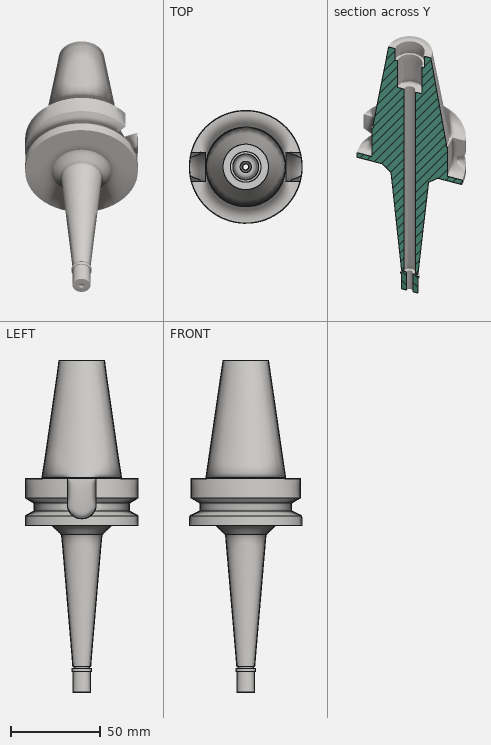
import cadquery as cq

total_length = 185.4
gauge_z = 120.0
flange_top_z = 119.4
flange_bottom_z = 93.0
neck_top_z = 88.0
neck_bottom_z = 14.5

taper_large_radius = 22.2
taper_ratio = 7 / 24
taper_small_radius = taper_large_radius - (total_length - gauge_z) * taper_ratio / 2
relief_radius = 21.9

flange_radius = 31.5
groove_radius = 26.7
groove_upper_edge_z = 108.6
groove_floor_top_z = 105.7
groove_floor_bottom_z = 101.2
groove_lower_edge_z = 98.6

slot_width = 16.1
slot_bottom_z = 97.0
slot_floor_x = 22.6

cone_radius = 16.5
neck_top_radius = 11.3
neck_bottom_radius = 5.0

mouth_radius = 8.5
mouth_depth = 8.9
thread_radius = 7.2
thread_depth = 29.7
coolant_radius = 3.2

nut_radius = 5.0
collar_radius = 5.5
collar_bottom_z = 11.7
collar_top_z = 13.3
stem_radius = 4.5
nut_bore_radius = 1.7


def drive_slot(side):
    """Round-bottomed slot cutter, open upwards and outwards; side is +1 or -1."""
    slot_radius = slot_width / 2
    arc_center_z = slot_bottom_z + slot_radius
    return (
        cq.Workplane("YZ", origin=(side * slot_floor_x, 0, 0))
        .moveTo(-slot_radius, flange_top_z)
        .lineTo(-slot_radius, arc_center_z)
        .threePointArc((0, slot_bottom_z), (slot_radius, arc_center_z))
        .lineTo(slot_radius, flange_top_z)
        .close()
        .extrude(side * flange_radius)
    )


def make_holder():
    """Taper, flange and neck turned in one piece, bored through and slotted."""
    mouth_floor_z = total_length - mouth_depth
    thread_floor_z = total_length - thread_depth
    profile = [
        (coolant_radius, neck_bottom_z),
        (neck_bottom_radius, neck_bottom_z),
        (neck_top_radius, neck_top_z),
        (cone_radius, flange_bottom_z),
        (flange_radius, flange_bottom_z),
        (flange_radius, groove_lower_edge_z),
        (groove_radius, groove_floor_bottom_z),
        (groove_radius, groove_floor_top_z),
        (flange_radius, groove_upper_edge_z),
        (flange_radius, flange_top_z),
        (relief_radius, flange_top_z),
        (relief_radius, gauge_z),
        (taper_large_radius, gauge_z),
        (taper_small_radius, total_length),
        (mouth_radius, total_length),
        (mouth_radius, mouth_floor_z),
        (thread_radius, mouth_floor_z),
        (thread_radius, thread_floor_z),
        (coolant_radius, thread_floor_z),
    ]
    holder = cq.Workplane("XZ").polyline(profile).close().revolve(360, (0, 0, 0), (0, 1, 0))
    for side in (-1, 1):
        holder = holder.cut(drive_slot(side))
    return holder


def make_nut():
    """Bored tip nut with a collar; its narrow stem seats against the end of the neck."""
    profile = [
        (nut_bore_radius, 0),
        (nut_radius, 0),
        (nut_radius, collar_bottom_z),
        (collar_radius, collar_bottom_z),
        (collar_radius, collar_top_z),
        (stem_radius, collar_top_z),
        (stem_radius, neck_bottom_z),
        (nut_bore_radius, neck_bottom_z),
    ]
    return cq.Workplane("XZ").polyline(profile).close().revolve(360, (0, 0, 0), (0, 1, 0))


holder = make_holder()
nut = make_nut()
result = cq.Compound.makeCompound([holder.val(), nut.val()])